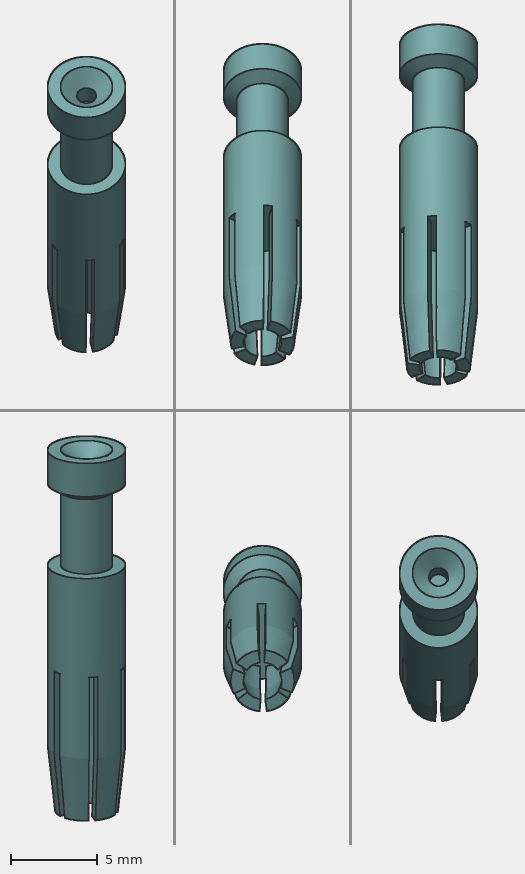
import cadquery as cq
import math

total_height = 22.2
body_radius = 2.25
neck_radius = 1.5

sleeve_top = 15.1
taper_height = 4.0
taper_angle = 6
tip_radius = body_radius - taper_height * math.tan(math.radians(taper_angle))

head_height = 2.05
head_cone_height = 0.45

cup_radius = neck_radius
cup_depth = 0.8
pilot_radius = 0.55
pilot_depth = 2.0

bore_radius = 1.5
bore_tip_radius = 1.1
bore_depth = 9.0

slot_count = 6
slot_outer_width = 0.5
slot_height = bore_depth
slot_half_angle = math.asin(slot_outer_width / 2 / body_radius)
first_slot_angle = 90


def revolve_profile(points):
    """Turn a closed (radius, height) outline once around the Z axis."""
    outline = cq.Workplane("XZ").polyline(points).close()
    return outline.revolve(360, (0, 0, 0), (0, 1, 0))


def outer_body():
    """Solid of the sleeve, neck and head, with the cup and pilot hole sunk into the top."""
    head_bottom = total_height - head_height
    return revolve_profile([
        (0, 0),
        (tip_radius, 0),
        (body_radius, taper_height),
        (body_radius, sleeve_top),
        (neck_radius, sleeve_top),
        (neck_radius, head_bottom - head_cone_height),
        (body_radius, head_bottom),
        (body_radius, total_height),
        (cup_radius, total_height),
        (pilot_radius, total_height - cup_depth),
        (pilot_radius, total_height - pilot_depth),
        (0, total_height - pilot_depth),
    ])


def socket_bore():
    """Blind bore from the lower end, narrower at its mouth."""
    return revolve_profile([
        (0, 0),
        (bore_tip_radius, 0),
        (bore_radius, taper_height),
        (bore_radius, bore_depth),
        (0, bore_depth),
    ])


def slot_cutter(angle):
    """Wedge with its point on the axis, opening outwards in the direction of an angle about Z."""
    reach = 2 * body_radius
    half_width = reach * math.tan(slot_half_angle)
    wedge = cq.Workplane("XY").polyline([(0, 0), (reach, -half_width), (reach, half_width)]).close()
    return wedge.extrude(slot_height).rotate((0, 0, 0), (0, 0, 1), angle)


result = outer_body().cut(socket_bore())
for index in range(slot_count):
    result = result.cut(slot_cutter(first_slot_angle + index * 360 / slot_count))